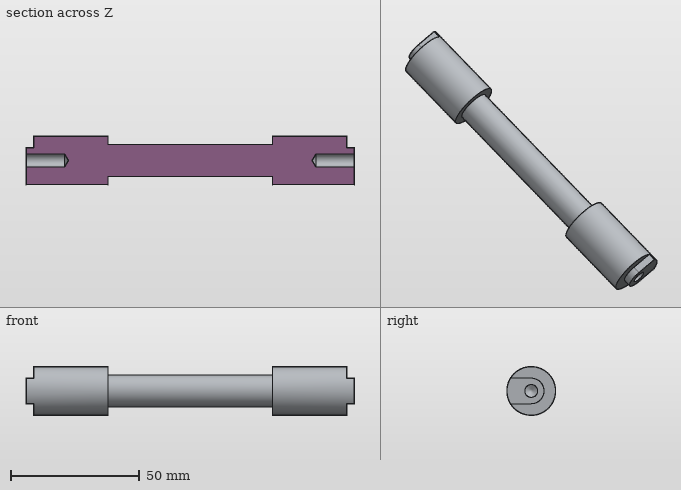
import cadquery as cq
import math

total_length = 127.8
collar_diameter = 19.0
shaft_diameter = 12.5
collar_end = 32.0

tab_height = 3.0
tab_width = 10.0

hole_diameter = 5.0
hole_depth = 15.0
drill_point_angle = 118.0

half_length = total_length / 2
collar_length = collar_end - tab_height


def make_tab():
    """Tab at the -X end: rounded towards +Y, running out to the collar surface at -Y."""
    tip_plane = cq.Workplane("YZ", origin=(-half_length, 0, 0))
    round_end = tip_plane.circle(tab_width / 2).extrude(tab_height)
    straight = (
        tip_plane.center(-collar_diameter / 2, 0)
        .rect(collar_diameter, tab_width)
        .extrude(tab_height)
    )
    collar_envelope = tip_plane.circle(collar_diameter / 2).extrude(tab_height)
    return round_end.union(straight.intersect(collar_envelope))


def make_collar():
    """Full-diameter cylinder behind the tab at the -X end."""
    shoulder_x = -half_length + tab_height
    shoulder_plane = cq.Workplane("YZ", origin=(shoulder_x, 0, 0))
    return shoulder_plane.circle(collar_diameter / 2).extrude(collar_length)


def make_drilled_hole():
    """Cylindrical hole with a conical bottom, entering from the -X tip."""
    radius = hole_diameter / 2
    point_length = radius / math.tan(math.radians(drill_point_angle / 2))
    bottom_x = -half_length + hole_depth
    return (
        cq.Workplane("XY")
        .moveTo(-half_length, 0)
        .lineTo(-half_length, radius)
        .lineTo(bottom_x, radius)
        .lineTo(bottom_x + point_length, 0)
        .close()
        .revolve(360, (0, 0, 0), (1, 0, 0))
    )


end_piece = make_collar().union(make_tab()).cut(make_drilled_hole())

shaft_length = total_length - 2 * collar_end
shaft = (
    cq.Workplane("YZ", origin=(-shaft_length / 2, 0, 0))
    .circle(shaft_diameter / 2)
    .extrude(shaft_length)
)

result = shaft.union(end_piece).union(end_piece.mirror("YZ"))